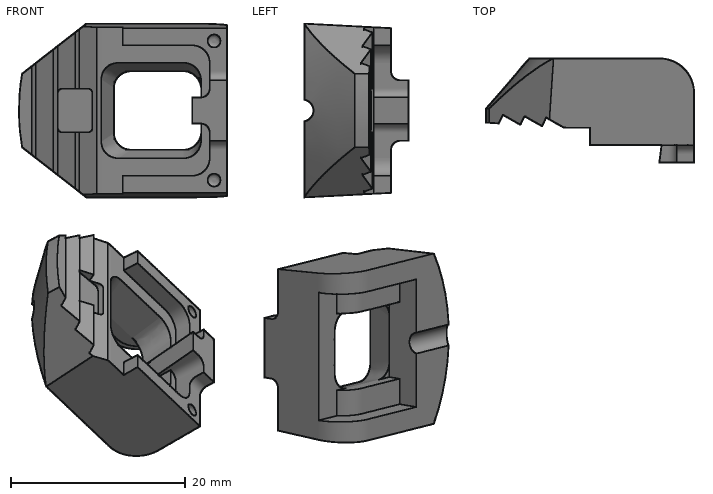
import cadquery as cq
import math


length = 23.95
height = 20.0
tab_front = -12.0
rim_front = -10.0
floor_front = -8.0
half_height = height / 2
side_draft = 3.0
heel_radius = 4.0

nose_axis_x = 24.45
nose_back_x = 4.98
nose_edge_y = -5.8
nose_half_height = 4.22
nose_corner_x = 0.35
shoulder_x = 7.79

nose_front_y = -7.4
tooth_line_end = 9.5
first_tip_x = 1.49
tooth_pitch = 2.5
tooth_count = 3
valley_offset_x = 0.48
valley_depth = 0.98

pocket_left = 4.48
pocket_right = 8.45
pocket_height = 5.0
pocket_corner = 0.5

rim_start_x = 11.95
recess_end_x = 21.95
recess_half_height = 7.5
corner_radius = 2.01

slot_front = -4.0
ledge_y = -2.5
ledge_radius = 3.0
window_right = 20.96
window_front_left = 9.5
window_back_left = 10.95
window_front_half = 5.49
window_back_half = 4.5

tab_foot_half = 3.5
tab_half = 1.5
tab_radius = 1.0
tongue_tip_x = 19.93

dimple_x = 22.45
dimple_z = 8.0
dimple_radius = 0.75
dimple_depth = 0.75
dimple_fillet = 0.48

groove_radius = 1.25
groove_axis_y = 0.204


def tooth_line_y(x):
    """Y position of the sloping line through the tooth tips."""
    return nose_front_y + (floor_front - nose_front_y) * x / tooth_line_end


def valley(tip_x):
    """Bottom of the notch that follows the tooth tip at tip_x."""
    return (tip_x + valley_offset_x, tooth_line_y(tip_x) + valley_depth)


def extrude_z(sketch, z_size):
    """Extrude an XY outline symmetrically about Z = 0."""
    return sketch.extrude(z_size / 2, both=True)


def extrude_y(points, y_start, y_end):
    """Prism between two Y levels over an outline of (x, z) points."""
    plane = cq.Workplane("XZ", origin=(0, y_start, 0))
    return plane.polyline(points).close().extrude(y_start - y_end)


def block():
    """Side profile with the teeth, extruded over the full height."""
    tips = [first_tip_x + i * tooth_pitch for i in range(tooth_count + 1)]
    points = [(0, 0), (0, nose_front_y)]
    for tip_x in tips[:-1]:
        points.append((tip_x, tooth_line_y(tip_x)))
        points.append(valley(tip_x))
    points.append((tips[-1], tooth_line_y(tips[-1])))
    points += [
        (tooth_line_end, floor_front),
        (rim_start_x, floor_front),
        (rim_start_x, rim_front),
        (length, rim_front),
        (length, 0),
    ]
    body = extrude_z(cq.Workplane("XY").polyline(points).close(), height)
    return body.edges("|Z and >X and >Y").fillet(heel_radius)


def draft_envelope():
    """Wedge with the drafted top and bottom faces."""
    front_half = half_height + tab_front * math.tan(math.radians(side_draft))
    points = [
        (0, half_height),
        (tab_front, front_half),
        (tab_front, -front_half),
        (0, -half_height),
    ]
    return cq.Workplane("YZ").polyline(points).close().extrude(length)


def flank_envelope():
    """Prism with the two flat flanks that narrow the nose."""
    slope = (half_height - nose_half_height) / (shoulder_x - nose_corner_x)
    start_half = nose_half_height - slope * nose_corner_x
    points = [
        (0, start_half),
        (shoulder_x, half_height),
        (length, half_height),
        (length, -half_height),
        (shoulder_x, -half_height),
        (0, -start_half),
    ]
    return extrude_y(points, 0, tab_front)


def nose_envelope():
    """Round body whose cone and cylinder bound the nose."""
    profile = [
        (nose_axis_x, 0),
        (nose_back_x, 0),
        (0, nose_edge_y),
        (0, tab_front),
        (nose_axis_x, tab_front),
    ]
    outline = cq.Workplane("XY").polyline(profile).close()
    return outline.revolve(360, (nose_axis_x, 0), (nose_axis_x, 1))


def recess():
    """Cut inside the rim, down to the floor."""
    size_x = recess_end_x - rim_start_x
    cut = cq.Workplane("XY").box(
        size_x, floor_front - rim_front, 2 * recess_half_height, centered=(False, False, True)
    )
    cut = cut.edges("|Y and >X").fillet(corner_radius)
    return cut.translate((rim_start_x, rim_front, 0))


def window():
    """Opening with a leaning nose side and leaning top and bottom."""
    front_width = window_right - window_front_left
    back_width = window_right - window_back_left
    cut = (
        cq.Workplane("XZ", origin=(0, floor_front, 0))
        .center((window_right + window_front_left) / 2, 0)
        .rect(front_width, 2 * window_front_half)
        .workplane(offset=floor_front - slot_front)
        .center((window_back_left - window_front_left) / 2, 0)
        .rect(back_width, 2 * window_back_half)
        .loft(ruled=True)
    )
    return cut.edges("not(|X or |Z)").fillet(corner_radius)


def back_slot():
    """Slot in the back that runs out through the heel, stepped along both sides by rounded ledges."""
    arc_x = window_right - ledge_radius
    arc_y = ledge_y - ledge_radius
    ledge_end_x = arc_x + math.sqrt(ledge_radius**2 - (slot_front - arc_y) ** 2)
    wide = (
        cq.Workplane("XY")
        .moveTo(window_back_left, 0)
        .lineTo(window_back_left, ledge_y)
        .lineTo(arc_x, ledge_y)
        .radiusArc((ledge_end_x, slot_front), ledge_radius)
        .lineTo(length, slot_front)
        .lineTo(length, 0)
        .close()
    )
    deep = cq.Workplane("XY").box(
        length - window_back_left, -slot_front, 2 * window_back_half, centered=(False, False, True)
    )
    deep = deep.translate((window_back_left, slot_front, 0))
    return deep.union(extrude_z(wide, 2 * recess_half_height))


def tab_foot():
    """Part of the tab standing on the rim, flaring into it with concave roundings."""
    flare_half = tab_foot_half + tab_radius
    flare_y = rim_front - tab_radius
    bend = tab_radius * (1 - math.sqrt(0.5))
    outline = (
        cq.Workplane("YZ", origin=(recess_end_x, 0, 0))
        .moveTo(floor_front, flare_half)
        .lineTo(rim_front, flare_half)
        .threePointArc((rim_front - bend, tab_foot_half + bend), (flare_y, tab_foot_half))
        .lineTo(tab_front, tab_foot_half)
        .lineTo(tab_front, -tab_foot_half)
        .lineTo(flare_y, -tab_foot_half)
        .threePointArc((rim_front - bend, -tab_foot_half - bend), (rim_front, -flare_half))
        .lineTo(floor_front, -flare_half)
        .close()
    )
    return outline.extrude(length - recess_end_x)


def tab_tongue():
    """Wedge reaching from the recess end over the window, leaning back to the window wall."""
    side = [
        (tongue_tip_x, tab_front),
        (recess_end_x, tab_front),
        (recess_end_x, slot_front),
        (window_right, slot_front),
    ]
    return extrude_z(cq.Workplane("XY").polyline(side).close(), 2 * tab_half)


def tongue_flare(sign):
    """Concave rounding between the tongue and the recess end, above (+1) or below (-1)."""
    start_x = recess_end_x - tab_radius
    bend = tab_radius * (1 - math.sqrt(0.5))
    outline = (
        cq.Workplane("XZ", origin=(0, floor_front, 0))
        .moveTo(start_x, sign * tab_half)
        .threePointArc(
            (recess_end_x - bend, sign * (tab_half + bend)),
            (recess_end_x, sign * (tab_half + tab_radius)),
        )
        .lineTo(recess_end_x, sign * tab_half)
        .close()
    )
    return outline.extrude(floor_front - tab_front)


def marking_pocket():
    """Rounded pocket whose sloping floor runs through the tooth valleys."""
    first = valley(first_tip_x + tooth_pitch)
    last = valley(first_tip_x + 2 * tooth_pitch)
    slope = (last[1] - first[1]) / (last[0] - first[0])
    side = [
        (pocket_left, first[1] + slope * (pocket_left - first[0])),
        (pocket_right, first[1] + slope * (pocket_right - first[0])),
        (pocket_right, rim_front),
        (pocket_left, rim_front),
    ]
    cut = extrude_z(cq.Workplane("XY").polyline(side).close(), pocket_height)
    return cut.edges("|Y").fillet(pocket_corner)


def dimple(z):
    """Blind round hole with a rounded bottom in the rim."""
    plane = cq.Workplane("XZ", origin=(dimple_x, rim_front, z))
    hole = plane.circle(dimple_radius).extrude(-dimple_depth)
    return hole.faces(">Y").edges().fillet(dimple_fillet)


def back_groove():
    """Shallow round groove along the whole back."""
    return cq.Workplane("YZ").center(groove_axis_y, 0).circle(groove_radius).extrude(length)


body = block().intersect(draft_envelope()).intersect(flank_envelope()).intersect(nose_envelope())
body = body.cut(recess()).cut(window()).cut(back_slot())
body = body.union(tab_foot()).union(tab_tongue())
for sign in (1, -1):
    body = body.union(tongue_flare(sign)).cut(dimple(sign * dimple_z))
result = body.cut(marking_pocket()).cut(back_groove())